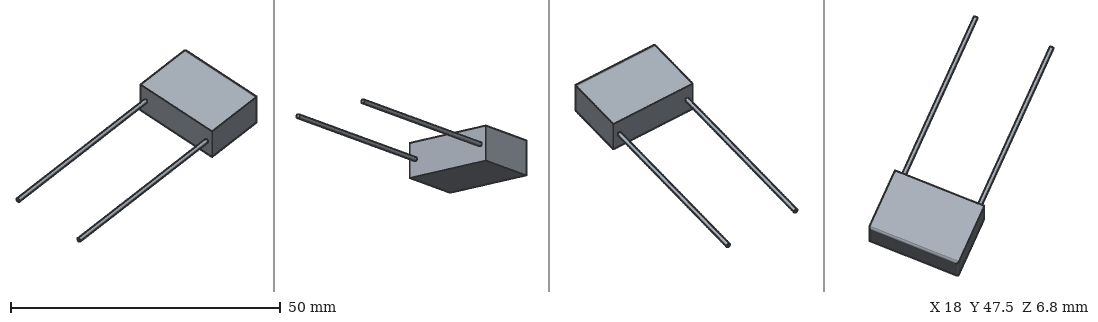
import cadquery as cq

total_length = 47.5

case_width = 18.0
case_length = 12.5
case_height = 6.8
back_edge_radius = 0.48

lead_diameter = 0.8
lead_pitch = 15.3
lead_length = total_length - case_length


def make_case():
    """Rectangular case with its front face on Y = 0 and its back edges rounded."""
    block = cq.Workplane("XY").box(case_width, case_length, case_height, centered=(True, False, True))
    return block.faces(">Y").edges().fillet(back_edge_radius)


def make_lead(x_position):
    """Straight round lead that runs toward -Y from the front face of the case."""
    front_face = cq.Workplane("XZ")
    return front_face.center(x_position, 0).circle(lead_diameter / 2).extrude(lead_length)


case = make_case()

leads = []
for side in (-1, 1):
    lead = make_lead(side * lead_pitch / 2)
    leads.append(lead.val())

result = cq.Compound.makeCompound([case.val(), *leads])